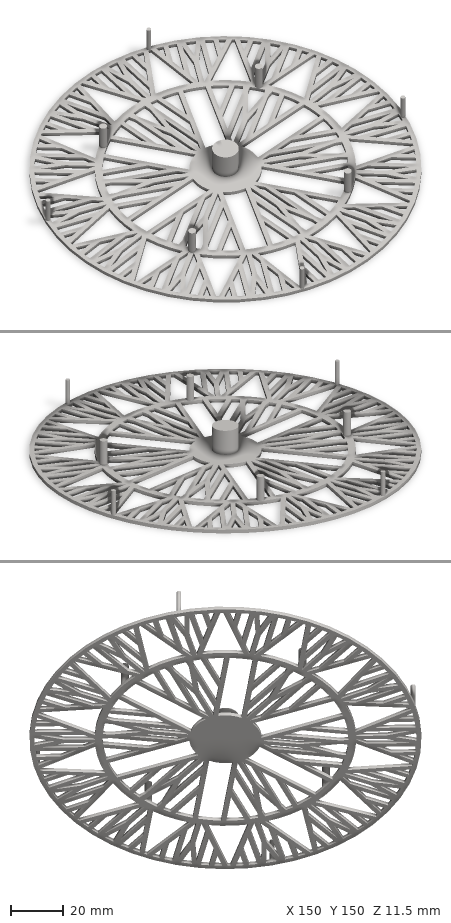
import cadquery as cq
import math

OUTER_DIAMETER = 150.0
OUTER_RADIUS = OUTER_DIAMETER / 2
PLATE_THICKNESS = 1.5
TOTAL_HEIGHT = 11.5
RIM_WIDTH = 2.0
RIM_INNER_RADIUS = OUTER_RADIUS - RIM_WIDTH
RIM_MID_RADIUS = OUTER_RADIUS - RIM_WIDTH / 2
RING_OUTER_RADIUS = OUTER_RADIUS * 2 / 3
RING_WIDTH = 3.0
RING_INNER_RADIUS = RING_OUTER_RADIUS - RING_WIDTH
RING_MID_RADIUS = RING_OUTER_RADIUS - RING_WIDTH / 2
HUB_RADIUS = 13.8

BRANCH_ANGLE = 30.0
FORK_ANGLE = 15.0
RIB_WIDTH = 2.0

INNER_TREES = 6
INNER_ROOT = 11.0
INNER_FORK = 28.8
INNER_TWIGS = (4.0, 9.9)

OUTER_TREES = 14
OUTER_ROOT = 46.0
OUTER_FORK = 61.5
OUTER_TWIGS = (4.5, 9.8)

BOSS_RADIUS = 5.1
RING_PIN_RADIUS = RING_WIDTH / 2
RING_PIN_COUNT = 4
RIM_PIN_RADIUS = 0.9
RIM_PIN_CIRCLE_RADIUS = 74.0
RIM_PIN_COUNT = 4
RIM_PIN_START = 1.5 * 360 / OUTER_TREES


def annulus(outer_radius, inner_radius):
    return cq.Workplane("XY").circle(outer_radius).circle(inner_radius).extrude(PLATE_THICKNESS)


def rib(start, angle, length=OUTER_RADIUS):
    """Straight rib from start, leaning by angle from +Y, by default long enough to pass the rim."""
    return (
        cq.Workplane("XY")
        .rect(RIB_WIDTH, length)
        .extrude(PLATE_THICKNESS)
        .translate((0, length / 2, 0))
        .rotate((0, 0, 0), (0, 0, 1), -angle)
        .translate((start[0], start[1], 0))
    )


def tree(root, fork, twigs, inner_radius, outer_radius):
    """Stem with two slanted branches, twigs parallel to the stem, and a narrow fork."""
    ribs = rib((0, root), 0, fork - root)
    for side in (-1, 1):
        ribs = ribs.union(rib((0, root), side * BRANCH_ANGLE))
        ribs = ribs.union(rib((0, fork), side * FORK_ANGLE))
        for offset in twigs:
            twig_start = root + offset / math.tan(math.radians(BRANCH_ANGLE))
            ribs = ribs.union(rib((side * offset, twig_start), 0))
    return ribs.intersect(annulus(outer_radius, inner_radius))


def add_around(body, item, count):
    """Join evenly spaced copies of item, turned about Z, to body."""
    for index in range(count):
        body = body.union(item.rotate((0, 0, 0), (0, 0, 1), index * 360 / count))
    return body


def posts(circle_radius, count, start_angle, radius):
    return (
        cq.Workplane("XY")
        .polarArray(circle_radius, start_angle, 360, count)
        .circle(radius)
        .extrude(TOTAL_HEIGHT)
    )


hub = cq.Workplane("XY").circle(HUB_RADIUS).extrude(PLATE_THICKNESS)
boss = cq.Workplane("XY").circle(BOSS_RADIUS).extrude(TOTAL_HEIGHT)
ring = annulus(RING_OUTER_RADIUS, RING_INNER_RADIUS)
rim = annulus(OUTER_RADIUS, RIM_INNER_RADIUS)

inner_tree = tree(INNER_ROOT, INNER_FORK, INNER_TWIGS, HUB_RADIUS / 2, RING_MID_RADIUS)
outer_tree = tree(OUTER_ROOT, OUTER_FORK, OUTER_TWIGS, RING_MID_RADIUS, RIM_MID_RADIUS)

result = hub.union(ring).union(rim)
result = add_around(result, inner_tree, INNER_TREES)
result = add_around(result, outer_tree, OUTER_TREES)
result = result.union(boss)
result = result.union(posts(RING_MID_RADIUS, RING_PIN_COUNT, 0, RING_PIN_RADIUS))
result = result.union(posts(RIM_PIN_CIRCLE_RADIUS, RIM_PIN_COUNT, RIM_PIN_START, RIM_PIN_RADIUS))
result = result.clean()